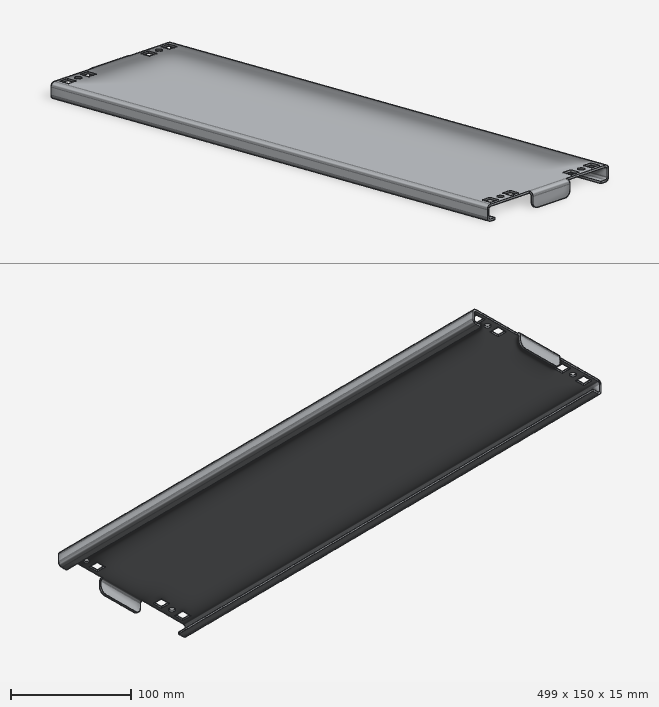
import cadquery as cq

overall_length = 499.0
width = 150.0
height = 15.0

sheet = 2.0
bend_outer = 4.0
bend_inner = bend_outer - sheet

lip_length = 9.5

tab_width = 46.0
tab_corner_radius = 6.0
plate_length = overall_length - 2 * bend_outer

hole_end_distance = 8.0
hole_row_y = 50.0
round_diameter = 6.0
square_side = 9.5
square_offset = 12.5

half_width = width / 2


def channel_profile():
    """Folded section across Y: flat top, two side webs and two inward lips; Z = 0 is the bottom."""
    lip_end = half_width - lip_length
    bend_start = half_width - bend_outer
    web_inner = half_width - sheet
    right_half = (
        cq.Workplane("YZ")
        .moveTo(0, height)
        .lineTo(bend_start, height)
        .radiusArc((half_width, height - bend_outer), bend_outer)
        .lineTo(half_width, bend_outer)
        .radiusArc((bend_start, 0), bend_outer)
        .lineTo(lip_end, 0)
        .lineTo(lip_end, sheet)
        .lineTo(bend_start, sheet)
        .radiusArc((web_inner, bend_outer), -bend_inner)
        .lineTo(web_inner, height - bend_outer)
        .radiusArc((bend_start, height - sheet), -bend_inner)
        .lineTo(0, height - sheet)
        .close()
        .extrude(plate_length / 2, both=True)
    )
    return right_half.union(right_half.mirror("XZ"))


def end_tab():
    """Tab folded down from the +X end of the plate, with its lower corners rounded."""
    root = plate_length / 2
    tip = overall_length / 2
    tab = (
        cq.Workplane("XZ")
        .moveTo(root, height)
        .radiusArc((tip, height - bend_outer), bend_outer)
        .lineTo(tip, 0)
        .lineTo(tip - sheet, 0)
        .lineTo(tip - sheet, height - bend_outer)
        .radiusArc((root, height - sheet), -bend_inner)
        .close()
        .extrude(tab_width / 2, both=True)
    )
    return tab.faces("<Z").edges("|X").fillet(tab_corner_radius)


def mounting_holes():
    """Cutters through the top sheet: a round hole between two square ones at each corner."""
    hole_x = plate_length / 2 - hole_end_distance
    round_points = [(x, y) for x in (-hole_x, hole_x) for y in (-hole_row_y, hole_row_y)]
    square_points = [(x, y + dy) for x, y in round_points for dy in (-square_offset, square_offset)]
    underside = cq.Workplane("XY").workplane(offset=height - sheet)
    rounds = underside.pushPoints(round_points).circle(round_diameter / 2).extrude(sheet)
    squares = underside.pushPoints(square_points).rect(square_side, square_side).extrude(sheet)
    return rounds.union(squares)


tab = end_tab()
result = channel_profile().union(tab).union(tab.mirror("YZ")).cut(mounting_holes())